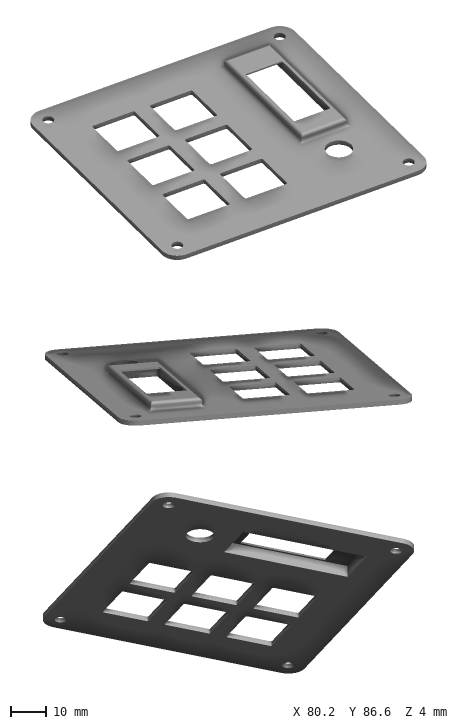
import cadquery as cq
import math

plate_width = 80.2
plate_length = 86.6
plate_thickness = 1.5
corner_radius = 5.0
total_height = 4.0

screw_hole_diameter = 3.4
screw_spacing_x = plate_width - 2 * corner_radius
screw_spacing_y = plate_length - 2 * corner_radius

key_size = 14.0
key_corner_radius = 0.5
key_pitch = 19.05
key_columns = 3
key_rows = 2
key_grid_y = -12.8

encoder_diameter = 8.05
encoder_x = 19.5
encoder_y = 24.7

bezel_width = 44.0
bezel_length = 17.1
bezel_x = -9.8
bezel_y = 24.85
cove_radius = 1.0
top_edge_radius = 1.0

window_width = 26.3
window_length = 12.0
window_x = -8.6
window_y = 24.9
lip_thickness = 0.5
pocket_width = 38.0
pocket_length = 13.5


def make_plate():
    plate = cq.Workplane("XY").box(
        plate_width, plate_length, plate_thickness, centered=(True, True, False)
    )
    return plate.edges("|Z").fillet(corner_radius)


def bezel_prism(plane, span):
    """Extrude the bezel's cross-section, with the given foot width, on both sides of a plane."""
    foot = span / 2
    upright = foot - cove_radius
    shoulder = upright - top_edge_radius
    cove_top = plate_thickness + cove_radius
    round_start = total_height - top_edge_radius
    cove_mid_offset = foot - cove_radius * math.sqrt(0.5)
    cove_mid_height = cove_top - cove_radius * math.sqrt(0.5)
    round_mid_offset = shoulder + top_edge_radius * math.sqrt(0.5)
    round_mid_height = round_start + top_edge_radius * math.sqrt(0.5)
    return (
        cq.Workplane(plane)
        .moveTo(-foot, 0)
        .lineTo(foot, 0)
        .lineTo(foot, plate_thickness)
        .threePointArc((cove_mid_offset, cove_mid_height), (upright, cove_top))
        .lineTo(upright, round_start)
        .threePointArc((round_mid_offset, round_mid_height), (shoulder, total_height))
        .lineTo(-shoulder, total_height)
        .threePointArc((-round_mid_offset, round_mid_height), (-upright, round_start))
        .lineTo(-upright, cove_top)
        .threePointArc((-cove_mid_offset, cove_mid_height), (-foot, plate_thickness))
        .close()
        .extrude(bezel_width, both=True)
    )


def make_bezel():
    """Overlap of the two crossing prisms, which meet in mitred corners."""
    along_x = bezel_prism("YZ", bezel_length)
    along_y = bezel_prism("XZ", bezel_width)
    return along_x.intersect(along_y).translate((bezel_x, bezel_y, 0))


def make_display_opening():
    window = cq.Workplane("XY").box(
        window_width, window_length, total_height, centered=(True, True, False)
    )
    pocket = cq.Workplane("XY").box(
        pocket_width, pocket_length, total_height - lip_thickness, centered=(True, True, False)
    )
    return window.translate((window_x, window_y, 0)).union(pocket.translate((bezel_x, window_y, 0)))


def make_screw_holes():
    return (
        cq.Workplane("XY")
        .rarray(screw_spacing_x, screw_spacing_y, 2, 2)
        .circle(screw_hole_diameter / 2)
        .extrude(plate_thickness)
    )


def make_key_cutouts():
    return (
        cq.Workplane("XY")
        .center(0, key_grid_y)
        .rarray(key_pitch, key_pitch, key_columns, key_rows)
        .rect(key_size, key_size)
        .extrude(plate_thickness)
        .edges("|Z")
        .fillet(key_corner_radius)
    )


def make_encoder_hole():
    return (
        cq.Workplane("XY")
        .center(encoder_x, encoder_y)
        .circle(encoder_diameter / 2)
        .extrude(plate_thickness)
    )


result = (
    make_plate()
    .union(make_bezel())
    .cut(make_display_opening())
    .cut(make_screw_holes())
    .cut(make_key_cutouts())
    .cut(make_encoder_hole())
)